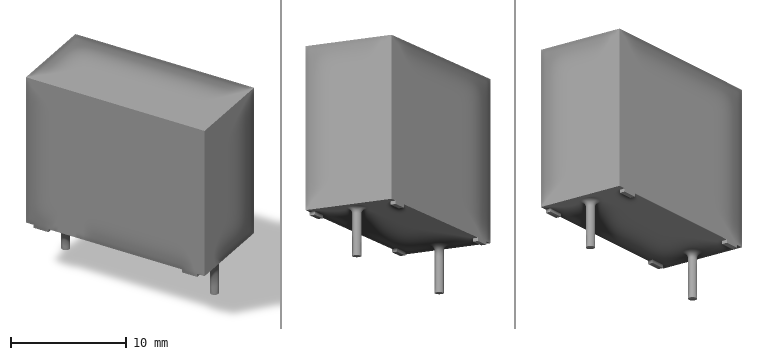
import cadquery as cq

case_length = 18.0
case_width = 8.5
overall_height = 19.0

foot_length = 1.5
foot_width = 0.5
foot_height = 0.3

lead_pitch = 15.0
lead_diameter = 0.8
lead_length_below_feet = 4.0
lead_collar_radius = 0.5

case_height = overall_height - lead_length_below_feet - foot_height
lead_positions = [-lead_pitch / 2, lead_pitch / 2]


def make_case():
    """Plain block raised above the seating plane by the foot height."""
    block = cq.Workplane("XY").box(case_length, case_width, case_height, centered=(True, True, False))
    return block.translate((0, 0, foot_height))


def make_foot(x, side):
    """Small pad flush with the long face on the given side (-1 or +1)."""
    y = side * (case_width - foot_width) / 2
    pad = cq.Workplane("XY").box(foot_length, foot_width, foot_height, centered=(True, True, False))
    return pad.translate((x, y, 0))


def make_lead(x):
    """Round wire that flares into the underside of the case with a concave collar."""
    radius = lead_diameter / 2
    flare_radius = radius + lead_collar_radius
    collar_bottom = foot_height - lead_collar_radius
    half_profile = (
        cq.Workplane("XZ")
        .moveTo(0, foot_height)
        .lineTo(flare_radius, foot_height)
        .radiusArc((radius, collar_bottom), -lead_collar_radius)
        .lineTo(radius, -lead_length_below_feet)
        .lineTo(0, -lead_length_below_feet)
        .close()
    )
    return half_profile.revolve(360, (0, 0, 0), (0, 1, 0)).translate((x, 0, 0))


result = make_case()
for lead_x in lead_positions:
    result = result.union(make_lead(lead_x))
    for foot_side in (-1, 1):
        result = result.union(make_foot(lead_x, foot_side))